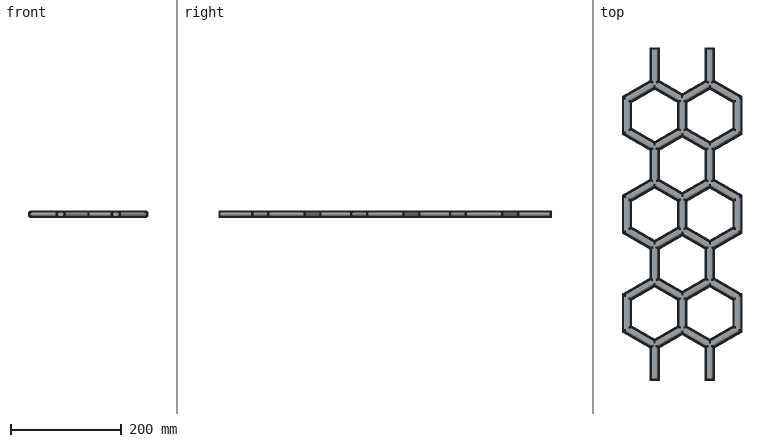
import cadquery as cq
import math

length = 598.0
width = 214.0
thickness = 10.0
bar_width = 15.0
rows = 3
columns = 2

column_pitch = (width - bar_width) / columns
cell_side = column_pitch / math.sqrt(3)
link_length = (length - rows * 2 * cell_side) / (rows + 1)
row_pitch = 2 * cell_side + link_length

column_xs = [(i - (columns - 1) / 2) * column_pitch for i in range(columns)]
row_ys = [(j - (rows - 1) / 2) * row_pitch for j in range(rows)]


def bar_section(x, y):
    """Obround bar section facing along Y, centred at (x, y, 0)."""
    return cq.Workplane("XZ", origin=(x, y, 0)).slot2D(bar_width, thickness)


def cell_ring():
    """Hexagonal ring of six bars with mitred corners, one corner pointing along +Y."""
    half_pitch = column_pitch / 2
    path = (
        cq.Workplane("XY")
        .moveTo(half_pitch, 0)
        .lineTo(half_pitch, cell_side / 2)
        .lineTo(0, cell_side)
        .lineTo(-half_pitch, cell_side / 2)
        .lineTo(-half_pitch, -cell_side / 2)
        .lineTo(0, -cell_side)
        .lineTo(half_pitch, -cell_side / 2)
        .close()
    )
    return bar_section(half_pitch, 0).sweep(path, transition="right")


def link(x, y_start):
    """Straight bar running along +Y from y_start, used between cells and as a free end."""
    return bar_section(x, y_start).extrude(-link_length)


ring = cell_ring()
link_starts = [-length / 2 + k * row_pitch for k in range(rows + 1)]

lattice = cq.Workplane("XY")
for column_x in column_xs:
    for row_y in row_ys:
        lattice = lattice.union(ring.translate((column_x, row_y, 0)))
    for link_y in link_starts:
        lattice = lattice.union(link(column_x, link_y))

result = lattice.clean()